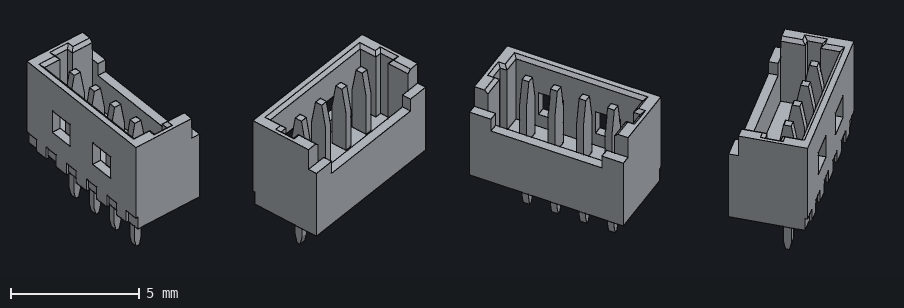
import cadquery as cq

LENGTH = 6.75
DEPTH = 3.2
HEIGHT = 4.2
FRONT = 0.0
REAR = FRONT + DEPTH

WALL = 0.4
END_WALL = 0.6
FLOOR = 1.0
LEAD_IN = 0.15

SLOT_DEPTH = 0.3
SLOT_WIDTH = 0.62
SLOT_Y = 1.49

REAR_STEP = 1.0
REAR_GAP_LENGTH = 4.86
REAR_GAP_TOP = 2.6

WINDOW_SIZE = 1.095
WINDOW_TOP = 2.7

PIN_COUNT = 4
PITCH = 1.25
PIN_WIDTH = 0.3
PIN_Y = 1.195
TAIL_LENGTH = 2.3
TAIL_DEPTH = 0.35
TAIL_TIP_DEPTH = 0.16
TAIL_TAPER = 0.4
SHOULDER = FLOOR / 2
BLADE_DEPTH = 0.71
BLADE_TIP_DEPTH = 0.31
BLADE_TOP = 3.995
BLADE_TAPER = 1.1

NOTCH_SIZE = 0.6
NOTCH_DEPTH = 0.1
CHANNEL_HEIGHT = 0.1

pin_xs = [(i - (PIN_COUNT - 1) / 2) * PITCH for i in range(PIN_COUNT)]
half_cavity = LENGTH / 2 - END_WALL


def block(x_min, x_max, y_min, y_max, z_min, z_max):
    """Box given by its limits along each axis."""
    size = (x_max - x_min, y_max - y_min, z_max - z_min)
    return cq.Workplane("XY").box(*size, centered=False).translate((x_min, y_min, z_min))


def centred_block(x, width, y_min, y_max, z_min, z_max):
    """Box centred on x."""
    return block(x - width / 2, x + width / 2, y_min, y_max, z_min, z_max)


def lead_in_block(x_half, y_min, y_max):
    """Pocket through the rim whose mouth flares outward at 45 degrees."""
    pocket = centred_block(0, 2 * x_half, y_min, y_max, FLOOR, HEIGHT)
    mouth_size = (2 * (x_half + LEAD_IN), y_max - y_min + 2 * LEAD_IN)
    flare = (
        cq.Workplane("XY", origin=(0, (y_min + y_max) / 2, HEIGHT - LEAD_IN))
        .rect(2 * x_half, y_max - y_min)
        .workplane(offset=LEAD_IN)
        .rect(*mouth_size)
        .loft(ruled=True)
    )
    return pocket.union(flare)


def make_housing():
    body = centred_block(0, LENGTH, FRONT, REAR, 0, HEIGHT)
    body = body.cut(lead_in_block(half_cavity, FRONT + WALL, REAR - WALL))
    slot_front = SLOT_Y - SLOT_WIDTH / 2
    body = body.cut(lead_in_block(half_cavity + SLOT_DEPTH, slot_front, slot_front + SLOT_WIDTH))
    body = body.cut(centred_block(0, LENGTH, REAR - WALL, REAR, HEIGHT - REAR_STEP, HEIGHT))
    return body.cut(centred_block(0, REAR_GAP_LENGTH, REAR - WALL, REAR, REAR_GAP_TOP, HEIGHT))


def cut_windows(body):
    for x in (-PITCH, PITCH):
        window = centred_block(x, WINDOW_SIZE, FRONT, FRONT + WALL, WINDOW_TOP - WINDOW_SIZE, WINDOW_TOP)
        body = body.cut(window)
    return body


def cut_notches(body):
    corner_xs = [side * (LENGTH - NOTCH_SIZE) / 2 for side in (-1, 1)]
    for x in corner_xs + pin_xs:
        body = body.cut(centred_block(x, NOTCH_SIZE, FRONT, FRONT + NOTCH_DEPTH, 0, NOTCH_SIZE))
    for x in pin_xs:
        body = body.cut(centred_block(x, NOTCH_SIZE, FRONT, FRONT + WALL, 0, CHANNEL_HEIGHT))
    return body


def make_pin(x):
    """Flat pin: a tapered blade in the cavity and a narrower tail below."""
    right_side = [
        (TAIL_TIP_DEPTH / 2, -TAIL_LENGTH),
        (TAIL_DEPTH / 2, TAIL_TAPER - TAIL_LENGTH),
        (TAIL_DEPTH / 2, SHOULDER),
        (BLADE_DEPTH / 2, SHOULDER),
        (BLADE_DEPTH / 2, BLADE_TOP - BLADE_TAPER),
        (BLADE_TIP_DEPTH / 2, BLADE_TOP),
    ]
    left_side = [(-y, z) for y, z in reversed(right_side)]
    profile = cq.Workplane("YZ", origin=(x, PIN_Y, 0)).polyline(right_side + left_side).close()
    return profile.extrude(PIN_WIDTH / 2, both=True)


result = cut_notches(cut_windows(make_housing()))
for pin_x in pin_xs:
    result = result.union(make_pin(pin_x))